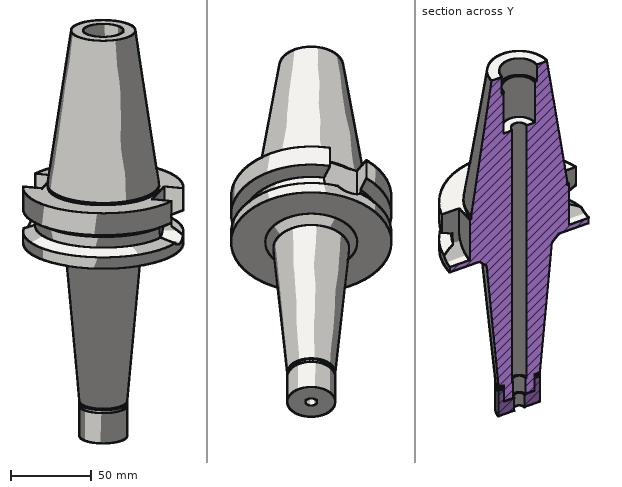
import cadquery as cq
import math


gauge_radius = 69.85 / 2
taper_length = 101.8
taper_ratio = 7 / 24
shank_top_radius = gauge_radius - taper_length * taper_ratio / 2
relief_depth = 0.45

flange_radius = 50.0
flange_top = -1.5
flange_bottom = -38.0
groove_radius = 42.5
groove_floor_width = 7.0
groove_middle = -23.2
groove_flank_angle = 27.0

slot_width = 25.7
slot_floor_distance = 35.8
slot_bottom = -33.5

collar_height = 5.0
neck_end_radius = 15.0
neck_end = -142.1
neck_angle = 5.0

spigot_radius = 11.0
spigot_end = -155.0

entry_radius = 12.5
entry_depth = 13.0
thread_radius = 11.0
thread_depth = 45.0
through_radius = 5.2
spigot_bore_radius = 4.4

nut_radius = neck_end_radius
ring_overhang = 0.1
ring_radius = nut_radius + ring_overhang
ring_gap = 0.9
ring_height = 2.0
nut_bottom = -165.0
tool_radius = 3.6

groove_flank_height = (flange_radius - groove_radius) * math.tan(math.radians(groove_flank_angle))
groove_floor_top = groove_middle + groove_floor_width / 2
groove_floor_bottom = groove_middle - groove_floor_width / 2
collar_bottom = flange_bottom - collar_height
neck_start_radius = neck_end_radius + (collar_bottom - neck_end) * math.tan(math.radians(neck_angle))
collar_radius = neck_start_radius + collar_height
ring_top = neck_end - ring_gap
nut_top = ring_top - ring_height


def cylinder(radius, bottom, top):
    """A cylinder on the Z axis between two heights."""
    return cq.Workplane("XY").workplane(offset=bottom).circle(radius).extrude(top - bottom)


def holder_blank():
    """The turned outside of the holder."""
    profile = [
        (0, taper_length),
        (shank_top_radius, taper_length),
        (gauge_radius, 0),
        (gauge_radius - relief_depth, 0),
        (gauge_radius - relief_depth, flange_top),
        (flange_radius, flange_top),
        (flange_radius, groove_floor_top + groove_flank_height),
        (groove_radius, groove_floor_top),
        (groove_radius, groove_floor_bottom),
        (flange_radius, groove_floor_bottom - groove_flank_height),
        (flange_radius, flange_bottom),
        (collar_radius, flange_bottom),
        (neck_start_radius, collar_bottom),
        (neck_end_radius, neck_end),
        (spigot_radius, neck_end),
        (spigot_radius, spigot_end),
        (0, spigot_end),
    ]
    return cq.Workplane("XZ").polyline(profile).close().revolve(360, (0, 0, 0), (0, 1, 0))


def drive_slot(side):
    """A round-bottomed slot, open upward and outward, on the +X (1) or -X (-1) side."""
    half_width = slot_width / 2
    arc_middle = slot_bottom + half_width
    return (
        cq.Workplane("YZ")
        .workplane(offset=side * slot_floor_distance)
        .moveTo(-half_width, flange_top)
        .lineTo(-half_width, arc_middle)
        .threePointArc((0, slot_bottom), (half_width, arc_middle))
        .lineTo(half_width, flange_top)
        .close()
        .extrude(side * flange_radius)
    )


def make_holder():
    body = holder_blank()
    for side in (-1, 1):
        body = body.cut(drive_slot(side))
    body = body.cut(cylinder(entry_radius, taper_length - entry_depth, taper_length))
    body = body.cut(cylinder(thread_radius, taper_length - thread_depth, taper_length))
    body = body.cut(cylinder(through_radius, neck_end, taper_length))
    return body.cut(cylinder(spigot_bore_radius, spigot_end, neck_end))


def make_ring():
    """The thin ring on the spigot above the nut."""
    return cylinder(ring_radius, nut_top, ring_top).cut(cylinder(spigot_radius, nut_top, ring_top))


def make_nut():
    """The cap nut that closes over the end of the spigot."""
    body = cylinder(nut_radius, nut_bottom, nut_top)
    body = body.cut(cylinder(spigot_radius, spigot_end, nut_top))
    return body.cut(cylinder(tool_radius, nut_bottom, nut_top))


holder = make_holder()
ring = make_ring()
nut = make_nut()
result = cq.Compound.makeCompound([holder.val(), ring.val(), nut.val()])